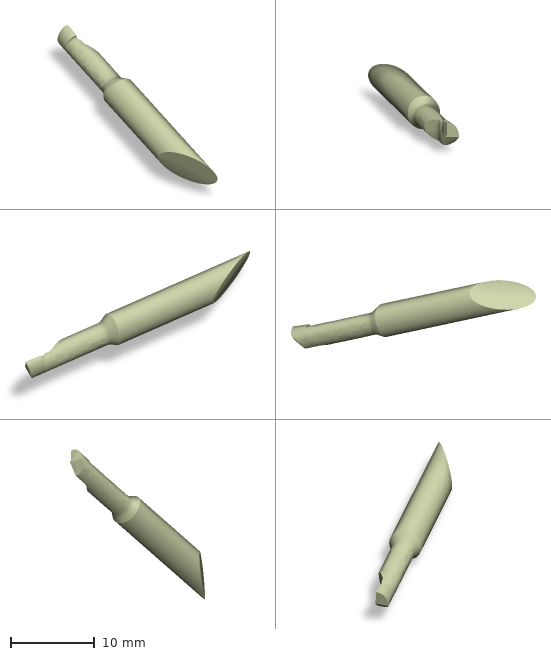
import cadquery as cq
import math

total_length = 30.7
shank_radius = 2.0
slope_angle = math.radians(30)

neck_half_width = 1.45
neck_half_height = 1.305
neck_drop = 0.138
shoulder_start = 10.45
shoulder_growth = 1.23
shoulder_fillet = 0.85

head_length = 1.97
head_front_height = 1.6
head_back_height = 1.45
flat_y = 0.2
flat_run_end = 5.47
flat_fillet = 1.07
rake_y = 0.05
rake_length = 2.6
rake_floor = -0.12
rake_floor_slope = 2.0
land_depth = 0.03
front_relief = 0.1
heel_length = 1.2

tolerance = 0.03
margin = 3.07


def oval(x, half_width, half_height):
    """Closed oval wire across X, centred on the neck axis."""
    upright = half_height > half_width
    long_axis = (0, 0, 1) if upright else (0, 1, 0)
    plane = cq.Plane(origin=(x, 0, -neck_drop), xDir=long_axis, normal=(1, 0, 0))
    sketch = cq.Workplane(plane).ellipse(max(half_width, half_height), min(half_width, half_height))
    return sketch.wires().val()


def loft(*sections):
    return cq.Workplane(cq.Solid.makeLoft(list(sections), True))


def upright_prism(points):
    """XY outline extended well above and below the part."""
    return cq.Workplane("XY").polyline(points).close().extrude(margin, both=True)


def make_shank(start):
    shank = cq.Workplane("YZ").workplane(offset=start).circle(shank_radius)
    shank = shank.extrude(total_length - start)
    short_side = total_length - 2 * shank_radius / math.tan(slope_angle)
    overshoot = margin / math.tan(slope_angle)
    end_cut = upright_prism([
        (short_side - overshoot, -shank_radius - margin),
        (total_length + overshoot, shank_radius + margin),
        (total_length + overshoot, -shank_radius - margin),
    ])
    return shank.cut(end_cut)


def make_neck_and_shoulder():
    neck_plane = cq.Workplane("YZ", origin=(0, 0, -neck_drop))
    neck = neck_plane.ellipse(neck_half_width, neck_half_height).extrude(shoulder_start)
    shoulder_end = shoulder_start + shoulder_growth / math.tan(slope_angle)
    shoulder = loft(
        oval(shoulder_start, neck_half_width, neck_half_height),
        oval(shoulder_end, neck_half_width + shoulder_growth, neck_half_height + shoulder_growth),
    )
    body = neck.union(shoulder)
    root = cq.selectors.BoxSelector(
        (shoulder_start - tolerance, -margin, -margin), (shoulder_start + tolerance, margin, margin)
    )
    return body.edges(root).fillet(shoulder_fillet), shoulder_end


def make_head():
    head = loft(
        oval(0, neck_half_width, head_front_height + land_depth + neck_drop),
        oval(head_length, neck_half_width, head_back_height + land_depth + neck_drop),
    )
    quadrant = cq.Workplane("XY").box(head_length, margin, margin, centered=False)
    head = head.intersect(quadrant.translate((0, rake_y - margin, -neck_drop)))
    above_land = cq.Workplane("XZ").polyline([
        (0, head_front_height), (head_length, head_back_height), (head_length, margin), (0, margin),
    ]).close().extrude(margin, both=True)
    return head.cut(above_land)


def cut_flat(body):
    ramp_run = (neck_half_width - flat_y) / math.tan(slope_angle)
    ramp_foot = flat_run_end - ramp_run
    overshoot = margin / math.tan(slope_angle)
    cutter = upright_prism([
        (-margin, flat_y),
        (ramp_foot, flat_y),
        (flat_run_end + overshoot, neck_half_width + margin),
        (-margin, neck_half_width + margin),
    ])
    foot = cq.selectors.NearestToPointSelector((ramp_foot, flat_y, 0))
    return body.cut(cutter.edges("|Z").edges(foot).fillet(flat_fillet))


def cut_rake(body):
    depth = flat_y - rake_y
    plan = upright_prism([
        (0, rake_y), (rake_length - depth, rake_y), (rake_length, flat_y), (0, flat_y),
    ])
    sloped_floor = cq.Workplane("YZ").polyline([
        (rake_y, rake_floor), (flat_y, rake_floor + rake_floor_slope * depth),
        (flat_y, margin), (rake_y, margin),
    ]).close().extrude(rake_length)
    return body.cut(plan.intersect(sloped_floor))


def cut_tip(body):
    relief = upright_prism([
        (0, flat_y), (0, 0), (front_relief, -neck_half_width), (front_relief, -margin),
        (-margin, -margin), (-margin, flat_y),
    ])
    bottom = -neck_drop - neck_half_height
    heel = cq.Workplane("XZ").polyline([
        (0, -neck_drop), (heel_length, bottom), (heel_length, bottom - margin),
        (-margin, bottom - margin), (-margin, -neck_drop),
    ]).close().extrude(margin, both=True)
    return body.cut(relief).cut(heel)


neck, shoulder_end = make_neck_and_shoulder()
envelope = cq.Workplane("YZ").circle(shank_radius).extrude(shoulder_end)
bar = cut_flat(neck.intersect(envelope))
bar = cut_rake(bar).union(make_head())
bar = cut_tip(bar)

result = bar.union(make_shank(shoulder_end)).clean()